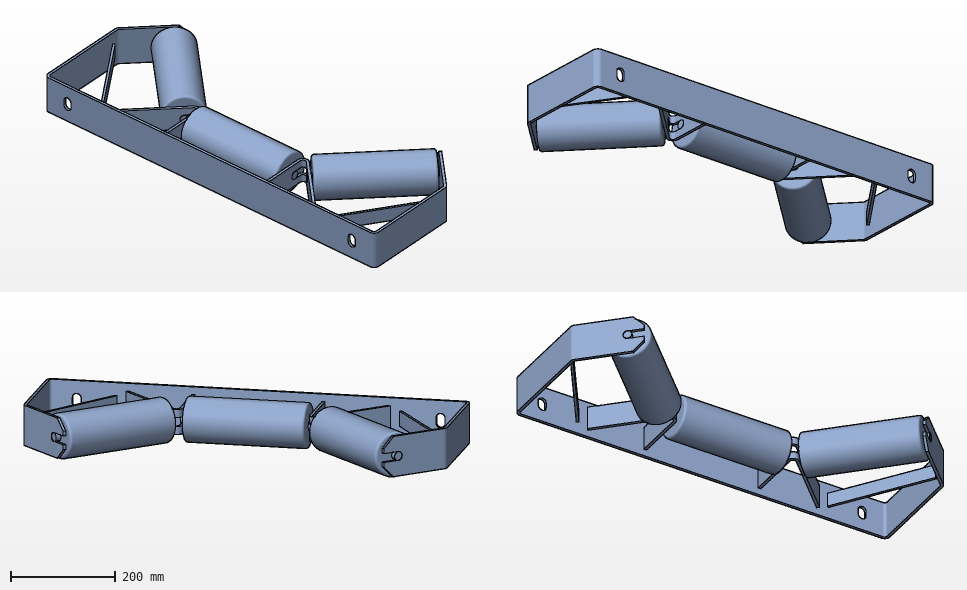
import cadquery as cq
import math

FRAME_WIDTH = 830.0
FRAME_DEPTH = 314.0
STRIP_HEIGHT = 80.0
PLATE = 6.0
SIDE_HEIGHT = 213.0
FRAME_BEND_RADIUS = 12.0
TIP_CHAMFER = 21.5
MOUNT_SPACING = 714.0
MOUNT_SLOT_WIDTH = 17.5
MOUNT_SLOT_HEIGHT = 28.0

ROLLER_DIAMETER = 89.0
ROLLER_LENGTH = 240.0
ROLLER_FILLET = 5.0
SHAFT_DIAMETER = 17.5
SHAFT_LENGTH = 261.5
MIDDLE_ROLLER_Y = 99.0
WING_ROLLER_X = 246.0
WING_ROLLER_Y = 199.0
WING_ANGLE = 45.0

BRACKET_HEIGHT = 50.0
BRACKET_X = 124.5
BRACKET_BEND_RADIUS = 12.5
WING_GAP = 4.0

STRUT_HEIGHT = 30.0
STRUT_THICKNESS = 5.0
STRUT_WALL_Y = 195.0
STRUT_BASE_X = 281.0

HALF_WIDTH = FRAME_WIDTH / 2
DIAGONAL = math.sqrt(0.5)
MITRE_45 = PLATE * math.tan(math.radians(WING_ANGLE / 2))
PLATE_DIAGONAL = PLATE * DIAGONAL

WING_AXIS = cq.Vector(DIAGONAL, DIAGONAL, 0)
WING_SQUARE = cq.Vector(-DIAGONAL, DIAGONAL, 0)
WING_CENTRE = cq.Vector(WING_ROLLER_X, WING_ROLLER_Y, 0)


def mirrored(points):
    """Return the points reflected in X and in reverse order."""
    return [(-x, y) for x, y in reversed(points)]


def extruded(points, height):
    """Extrude an XY outline to a height centred on Z = 0."""
    return cq.Workplane("XY").polyline(points).close().extrude(height / 2, both=True)


def filleted_at(body, x, y, radius):
    """Round the upright edge that stands at (x, y)."""
    reach = 0.1
    corner = cq.selectors.BoxSelector((x - reach, y - reach, -reach), (x + reach, y + reach, reach))
    return body.edges(corner).fillet(radius)


def shaft_slot(seat, axis, opening, length):
    """Round-bottomed cutter for a shaft, running from its seat towards an open end."""
    depth = 8.0
    plane = cq.Plane(origin=seat.toTuple(), xDir=opening.toTuple(), normal=axis.toTuple())
    seat_hole = cq.Workplane(plane).circle(SHAFT_DIAMETER / 2).extrude(depth, both=True)
    channel = (
        cq.Workplane(plane).center(length / 2, 0).rect(length, SHAFT_DIAMETER).extrude(depth, both=True)
    )
    return seat_hole.union(channel)


def make_frame():
    tip_x = HALF_WIDTH - (FRAME_DEPTH - SIDE_HEIGHT)
    outer_tip = (tip_x, FRAME_DEPTH)
    inner_tip = (tip_x - PLATE_DIAGONAL, FRAME_DEPTH - PLATE_DIAGONAL)
    outer_bend = (HALF_WIDTH, SIDE_HEIGHT)
    inner_bend = (HALF_WIDTH - PLATE, SIDE_HEIGHT - MITRE_45)
    outer_corner = (HALF_WIDTH, 0)
    inner_corner = (HALF_WIDTH - PLATE, PLATE)

    outer = [outer_corner, outer_bend, outer_tip]
    inner = [inner_tip, inner_bend, inner_corner]
    right_side = outer + inner
    frame = extruded(right_side + mirrored(right_side), STRIP_HEIGHT)

    for side in (-1, 1):
        for x, y in (outer_corner, outer_bend):
            frame = filleted_at(frame, side * x, y, FRAME_BEND_RADIUS)
        for x, y in (inner_corner, inner_bend):
            frame = filleted_at(frame, side * x, y, FRAME_BEND_RADIUS - PLATE)

    tip_plane = cq.Plane(
        origin=(tip_x, FRAME_DEPTH, 0), xDir=WING_SQUARE.toTuple(), normal=WING_AXIS.toTuple()
    )
    half = STRIP_HEIGHT / 2
    for end in (-1, 1):
        clip = (
            cq.Workplane(tip_plane)
            .polyline([(0, end * half), (-TIP_CHAMFER, end * half), (0, end * (half - TIP_CHAMFER))])
            .close()
            .extrude(PLATE * 2, both=True)
        )
        frame = frame.cut(clip).cut(clip.mirror("YZ"))

    plate_x = (HALF_WIDTH + SIDE_HEIGHT - PLATE_DIAGONAL + WING_ROLLER_X - WING_ROLLER_Y) / 2
    seat = cq.Vector(plate_x, plate_x - WING_ROLLER_X + WING_ROLLER_Y, 0)
    slot_length = 50.0
    slot = shaft_slot(seat, WING_AXIS, WING_SQUARE, slot_length)
    frame = frame.cut(slot).cut(slot.mirror("YZ"))

    mounts = (
        cq.Workplane("XZ")
        .pushPoints([(-MOUNT_SPACING / 2, 0), (MOUNT_SPACING / 2, 0)])
        .slot2D(MOUNT_SLOT_HEIGHT, MOUNT_SLOT_WIDTH, 90)
        .extrude(-PLATE)
    )
    return frame.cut(mounts)


def make_bracket():
    """Bracket on the +X side: an upright leg bent over into a sloping leg."""
    inner_end = WING_CENTRE - WING_AXIS * (ROLLER_LENGTH / 2 + WING_GAP)
    top_sum = inner_end.x + inner_end.y
    under_sum = top_sum - PLATE / DIAGONAL
    outer_bend = (BRACKET_X, top_sum - BRACKET_X)
    inner_bend = (BRACKET_X + PLATE, under_sum - BRACKET_X - PLATE)
    foot = (under_sum - PLATE, PLATE)
    foot_top = (foot[0] + PLATE_DIAGONAL, foot[1] + PLATE_DIAGONAL)
    outline = [
        (BRACKET_X, PLATE), outer_bend, foot_top, foot, inner_bend, (BRACKET_X + PLATE, PLATE),
    ]
    bracket = extruded(outline, BRACKET_HEIGHT)
    bracket = filleted_at(bracket, *outer_bend, BRACKET_BEND_RADIUS)
    bracket = filleted_at(bracket, *inner_bend, BRACKET_BEND_RADIUS - PLATE)

    slot_length = 33.0
    upright_seat = cq.Vector(BRACKET_X + PLATE / 2, MIDDLE_ROLLER_Y, 0)
    sloping_seat = inner_end - WING_AXIS * (PLATE / 2)
    upright_slot = shaft_slot(upright_seat, cq.Vector(1, 0, 0), cq.Vector(0, 1, 0), slot_length)
    sloping_slot = shaft_slot(sloping_seat, WING_AXIS, WING_SQUARE, slot_length)
    return bracket.cut(upright_slot).cut(sloping_slot)


def make_strut():
    """Strut on the +X side, square-ended, with one long face ending on the wall and the base."""
    wall_end = cq.Vector(HALF_WIDTH - PLATE, STRUT_WALL_Y, 0)
    base_end = cq.Vector(STRUT_BASE_X, PLATE, 0)
    along = (wall_end - base_end).normalized()
    offset = cq.Vector(-along.y, along.x, 0) * STRUT_THICKNESS
    corners = [base_end, wall_end, wall_end + offset, base_end + offset]
    return extruded([(corner.x, corner.y) for corner in corners], STRUT_HEIGHT)


def make_roller(x, y, angle):
    """Roller with its shaft, centred at (x, y) and turned about Z from the X direction."""
    tube = (
        cq.Workplane(cq.Plane(origin=(-ROLLER_LENGTH / 2, 0, 0), xDir=(0, 0, 1), normal=(1, 0, 0)))
        .circle(ROLLER_DIAMETER / 2)
        .extrude(ROLLER_LENGTH)
        .edges()
        .fillet(ROLLER_FILLET)
    )
    shaft = cq.Workplane("YZ").circle(SHAFT_DIAMETER / 2).extrude(SHAFT_LENGTH / 2, both=True)
    roller = tube.union(shaft)
    return roller.rotate((0, 0, 0), (0, 0, 1), angle).translate((x, y, 0))


frame = make_frame()
right_bracket = make_bracket()
right_strut = make_strut()
brackets = [right_bracket, right_bracket.mirror("YZ")]
struts = [right_strut, right_strut.mirror("YZ")]
rollers = [
    make_roller(side * WING_ROLLER_X, WING_ROLLER_Y if side else MIDDLE_ROLLER_Y, side * WING_ANGLE)
    for side in (-1, 0, 1)
]

result = cq.Compound.makeCompound([body.val() for body in [frame, *brackets, *struts, *rollers]])